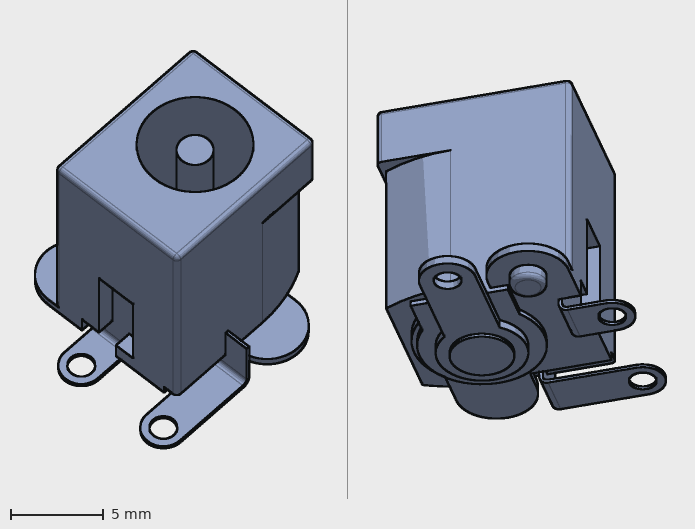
import cadquery as cq
import math


rivet_thickness = 0.2
terminal_bottom_z = rivet_thickness
tab_thickness = 0.5
tab_top_z = terminal_bottom_z + tab_thickness
spacer_top_z = 1.0
base_top_z = 1.5
collar_bottom_z = 10.7
housing_top_z = 14.2

housing_width = 9.0
half_width = housing_width / 2
front_y = -6.25
collar_back_y = 4.65
edge_radius = 0.3
waist_back_y = 4.35
waist_back_half_width = 3.6
waist_curve_start_y = 0.5

socket_radius = 3.15
socket_depth = 9.0
pin_radius = 1.0
pin_recess = 0.5

base_disc_radius = 3.8
base_back_y = 1.57
base_right_x = 3.55
lobe_radius = 2.25
left_lobe_x = -5.0
left_lobe_y = front_y + lobe_radius
right_lobe_x = 4.8
right_lobe_y = 0.55
spacer_radius = 3.5
spacer_half_depth = 2.72
peg_radius = 1.0
peg_edge_radius = 0.3

tab_disc_radius = 2.5
tab_half_width = 1.55
tab_hole_x = -6.8
rivet_radius = 1.75
solder_hole_radius = 0.75

sheet_thickness = 0.2
bend_inner_radius = 0.3
bend_outer_radius = bend_inner_radius + sheet_thickness
terminal_width = 2.5
terminal_hole_y = -7.65
front_terminal_x = -1.25
front_terminal_face_y = -5.2
side_terminal_x = 4.8
side_terminal_face_y = -2.4
side_terminal_top_z = 3.5

slot_step_z = 2.0
slot_top_z = 7.0
upper_slot_x = 0.0


def box(x_min, x_max, y_min, y_max, z_min, z_max):
    size = (x_max - x_min, y_max - y_min, z_max - z_min)
    return cq.Workplane("XY").box(*size, centered=False).translate((x_min, y_min, z_min))


def disc(x, y, radius, z_min, z_max):
    return cq.Workplane("XY", origin=(x, y, z_min)).circle(radius).extrude(z_max - z_min)


def make_waist_envelope():
    """Outline of the housing below the collar: flat back with two bowed rear flanks."""
    inset = half_width - waist_back_half_width
    rise = waist_back_y - waist_curve_start_y
    bow_radius = (inset**2 + rise**2) / (2 * inset)
    half_sweep = math.asin(rise / bow_radius) / 2
    bow_x = half_width - bow_radius * (1 - math.cos(half_sweep))
    bow_y = waist_curve_start_y + bow_radius * math.sin(half_sweep)
    return (
        cq.Workplane("XY", origin=(0, 0, base_top_z))
        .moveTo(-half_width, front_y)
        .lineTo(half_width, front_y)
        .lineTo(half_width, waist_curve_start_y)
        .threePointArc((bow_x, bow_y), (waist_back_half_width, waist_back_y))
        .lineTo(-waist_back_half_width, waist_back_y)
        .threePointArc((-bow_x, bow_y), (-half_width, waist_curve_start_y))
        .close()
        .extrude(collar_bottom_z - base_top_z)
    )


def make_housing():
    block = box(-half_width, half_width, front_y, collar_back_y, base_top_z, housing_top_z)
    block = block.edges("|Z or >Z").fillet(edge_radius)
    collar_zone = box(
        -half_width, half_width, front_y, collar_back_y, collar_bottom_z, housing_top_z
    )
    return block.intersect(make_waist_envelope().union(collar_zone))


def cut_socket(body):
    floor_z = housing_top_z - socket_depth
    bore = disc(0, 0, socket_radius, floor_z, housing_top_z)
    pin = disc(0, 0, pin_radius, floor_z, housing_top_z - pin_recess)
    return body.cut(bore.cut(pin))


def make_base():
    """Flange plate with a round lobe on each side."""
    plate = box(-half_width, base_right_x, front_y, base_back_y, spacer_top_z, base_top_z)
    left_web = box(
        left_lobe_x, 0, front_y, left_lobe_y + lobe_radius, spacer_top_z, base_top_z
    )
    right_web = box(
        0,
        right_lobe_x,
        right_lobe_y - lobe_radius,
        right_lobe_y + lobe_radius,
        spacer_top_z,
        base_top_z,
    )
    plate = plate.union(left_web).union(right_web)
    plate = plate.union(disc(0, 0, base_disc_radius, spacer_top_z, base_top_z))
    plate = plate.union(disc(left_lobe_x, left_lobe_y, lobe_radius, spacer_top_z, base_top_z))
    return plate.union(disc(right_lobe_x, right_lobe_y, lobe_radius, spacer_top_z, base_top_z))


def make_spacer():
    """Round pad squared off to the left housing wall."""
    pad = disc(0, 0, spacer_radius, tab_top_z, spacer_top_z)
    return pad.union(
        box(-half_width, 0, -spacer_half_depth, spacer_half_depth, tab_top_z, spacer_top_z)
    )


def make_peg():
    peg = disc(left_lobe_x, left_lobe_y, peg_radius, terminal_bottom_z, spacer_top_z)
    return peg.faces("<Z").edges().fillet(peg_edge_radius)


def make_center_tab():
    tab = disc(0, 0, tab_disc_radius, terminal_bottom_z, tab_top_z)
    tab = tab.union(
        box(tab_hole_x, 0, -tab_half_width, tab_half_width, terminal_bottom_z, tab_top_z)
    )
    tab = tab.union(disc(tab_hole_x, 0, tab_half_width, terminal_bottom_z, tab_top_z))
    tab = tab.cut(disc(tab_hole_x, 0, solder_hole_radius, terminal_bottom_z, tab_top_z))
    return tab.union(disc(0, 0, rivet_radius, 0, terminal_bottom_z))


def make_terminal(center_x, face_y, top_z):
    """Upright leaf bent forward at the bottom into a round-ended solder tab."""
    x_min = center_x - terminal_width / 2
    x_max = center_x + terminal_width / 2
    back_y = face_y + sheet_thickness
    tab_z = terminal_bottom_z + sheet_thickness
    bend_y = face_y - bend_inner_radius
    bend_z = tab_z + bend_inner_radius
    diagonal = math.sqrt(0.5)
    inner_mid = (bend_y + bend_inner_radius * diagonal, bend_z - bend_inner_radius * diagonal)
    outer_mid = (bend_y + bend_outer_radius * diagonal, bend_z - bend_outer_radius * diagonal)
    sheet = (
        cq.Workplane("YZ", origin=(x_min, 0, 0))
        .moveTo(back_y, top_z)
        .lineTo(face_y, top_z)
        .lineTo(face_y, bend_z)
        .threePointArc(inner_mid, (bend_y, tab_z))
        .lineTo(terminal_hole_y, tab_z)
        .lineTo(terminal_hole_y, terminal_bottom_z)
        .lineTo(bend_y, terminal_bottom_z)
        .threePointArc(outer_mid, (back_y, bend_z))
        .close()
        .extrude(x_max - x_min)
    )
    sheet = sheet.union(
        disc(center_x, terminal_hole_y, terminal_width / 2, terminal_bottom_z, tab_z)
    )
    return sheet.cut(
        disc(center_x, terminal_hole_y, solder_hole_radius, terminal_bottom_z, tab_z)
    )


def cut_front_slot(body):
    """Slot down to the terminal leaf; its lower part is shifted sideways and open below."""
    half_slot = terminal_width / 2
    for center_x, z_min, z_max in (
        (upper_slot_x, slot_step_z, slot_top_z),
        (front_terminal_x, spacer_top_z, slot_step_z),
    ):
        body = body.cut(
            box(
                center_x - half_slot,
                center_x + half_slot,
                front_y,
                front_terminal_face_y,
                z_min,
                z_max,
            )
        )
    return body


body = make_housing().union(make_base())
body = cut_socket(body)
body = cut_front_slot(body)
body = body.union(make_spacer()).union(make_peg()).union(make_center_tab())
body = body.union(make_terminal(front_terminal_x, front_terminal_face_y, slot_step_z))
body = body.union(make_terminal(side_terminal_x, side_terminal_face_y, side_terminal_top_z))

result = body